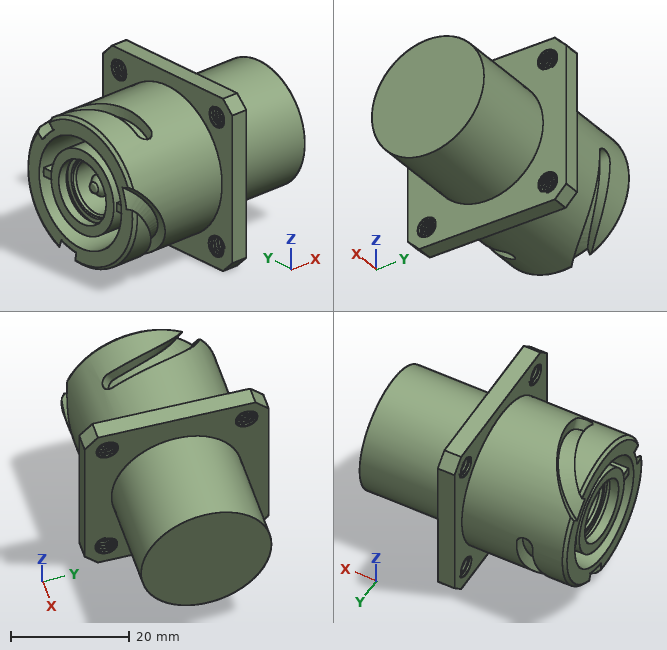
import cadquery as cq
import math

total_length = 41.0

flange_side = 32.5
flange_corner_chamfer = 2.35
flange_front = 20.0
flange_thickness = 3.25
flange_back = flange_front + flange_thickness

barrel_radius = 13.7
barrel_edge_chamfer = 0.57
bore_radius = 10.35
tail_radius = 11.52

key_inner_radius = 8.1
key_width = 1.55
key_front = 1.0
key_embed = 0.4

hole_offset = 12.3
thread_minor_radius = 1.72
thread_depth = 0.308
thread_pitch = 0.7
thread_starts = {(1, 1): 225, (-1, 1): 225, (1, -1): 195, (-1, -1): 20}

slot_count = 3
slot_width = 3.08
slot_floor_radius = 11.6
slot_clear_radius = barrel_radius + slot_width / 2
slot_end_x = 7.87
slot_end_angle = -32.0
slot_straight_angle = 3.5
slot_curve_radius = 23.85
slot_front_overrun = 2.05
slot_facets = 22

insert_front = 0.5
sleeve_radius = 7.87
mouth_radius = 5.95
lip_end = 2.2
undercut_radius = 6.48
undercut_end = 3.0
base_thickness = 3.3
socket_floor = flange_front - base_thickness

shoulder_radius = 5.58
rim_front = 3.1
rim_crest_radius = 5.25
rim_outer_radius = 5.4
rim_groove_end = 3.6
socket_radius = 4.95

pin_radius = 1.95
pin_front = 2.83
tip_radius = 0.65
tip_round = 0.35
nose_radius = 1.5
nose_end = 3.8
shoulder_end = 4.35


def x_cylinder(radius, start, end):
    """Cylinder on the X axis between two stations."""
    return cq.Workplane("YZ", origin=(start, 0, 0)).circle(radius).extrude(end - start)


def turn_about_x(body, angle):
    return body.rotate((0, 0, 0), (1, 0, 0), angle)


def make_flange():
    return (
        cq.Workplane("YZ", origin=(flange_front, 0, 0))
        .rect(flange_side, flange_side)
        .extrude(flange_thickness)
        .edges("|X")
        .chamfer(flange_corner_chamfer)
    )


def make_key(side):
    """Bar along the bore wall on the +Y (side 1) or -Y (side -1) flank."""
    length = flange_front - key_front
    height = bore_radius + key_embed - key_inner_radius
    centre = (key_front + length / 2, side * (key_inner_radius + height / 2), 0)
    return cq.Workplane("XY").box(length, height, key_width).translate(centre)


def tapped_hole(start_angle):
    """Threaded hole: an off-centre circle that turns once about the hole axis per pitch."""
    turns = flange_thickness / thread_pitch
    thread = (
        cq.Workplane("YZ", origin=(flange_front, 0, 0))
        .moveTo(thread_depth / 2, 0)
        .circle(thread_minor_radius + thread_depth / 2)
        .twistExtrude(flange_thickness, 360 * turns)
    )
    return turn_about_x(thread, start_angle)


def slot_section(x, angle, heading):
    """Rectangle across a slot, from its flat floor to past the barrel surface.

    The heading is the angle by which the slot leaves the circumferential direction.
    """
    turn = math.radians(angle)
    outward = cq.Vector(0, math.sin(turn), math.cos(turn))
    around = cq.Vector(0, math.cos(turn), -math.sin(turn))
    across = cq.Vector(1, 0, 0) * math.cos(heading) + around * math.sin(heading)
    floor = cq.Vector(x, 0, 0) + outward * slot_floor_radius
    top = cq.Vector(x, 0, 0) + outward * slot_clear_radius
    half = across * (slot_width / 2)
    return cq.Wire.makePolygon([floor - half, floor + half, top + half, top - half], close=True)


def slot_cutter():
    """Slot with a round closed end that curves out through the front face of the barrel."""
    sections = [slot_section(slot_end_x, slot_end_angle, 0)]
    last_heading = math.acos(1 - (slot_end_x + slot_front_overrun) / slot_curve_radius)
    for i in range(slot_facets + 1):
        heading = last_heading * i / slot_facets
        x = slot_end_x - slot_curve_radius * (1 - math.cos(heading))
        arc_angle = math.degrees(slot_curve_radius * math.sin(heading) / barrel_radius)
        sections.append(slot_section(x, slot_end_angle + slot_straight_angle + arc_angle, heading))
    ramp = cq.Workplane(cq.Solid.makeLoft(sections, True))
    round_end = (
        cq.Workplane("XY", origin=(slot_end_x, 0, slot_floor_radius))
        .circle(slot_width / 2)
        .extrude(slot_clear_radius - slot_floor_radius)
    )
    return ramp.union(turn_about_x(round_end, -slot_end_angle))


def make_housing():
    barrel = x_cylinder(barrel_radius, 0, flange_front).faces("<X").chamfer(barrel_edge_chamfer)
    tail = x_cylinder(tail_radius, flange_back, total_length)
    body = barrel.union(make_flange()).union(tail)
    body = body.cut(x_cylinder(bore_radius, 0, flange_front))

    for side in (1, -1):
        body = body.union(make_key(side))

    cutter = slot_cutter()
    for i in range(slot_count):
        body = body.cut(turn_about_x(cutter, 360 / slot_count * i))

    for (side_y, side_z), start_angle in thread_starts.items():
        position = (0, side_y * hole_offset, side_z * hole_offset)
        body = body.cut(tapped_hole(start_angle).translate(position))
    return body


def make_insert():
    """Turned insert that stands on the floor of the housing bore: sleeve, base and pin in one."""
    profile = (
        cq.Workplane("XY")
        .moveTo(flange_front, 0)
        .lineTo(flange_front, sleeve_radius)
        .lineTo(insert_front, sleeve_radius)
        .lineTo(insert_front, mouth_radius)
        .lineTo(lip_end, mouth_radius)
        .lineTo(lip_end, undercut_radius)
        .lineTo(undercut_end, undercut_radius)
        .lineTo(undercut_end, shoulder_radius)
        .lineTo(rim_groove_end, shoulder_radius)
        .lineTo(rim_groove_end, rim_outer_radius)
        .lineTo(rim_front, rim_crest_radius)
        .lineTo(rim_groove_end, socket_radius)
        .lineTo(socket_floor, socket_radius)
        .lineTo(socket_floor, pin_radius)
        .lineTo(shoulder_end, pin_radius)
        .lineTo(nose_end, nose_radius)
        .lineTo(pin_front + tip_round, tip_radius + tip_round)
        .radiusArc((pin_front, tip_radius), -tip_round)
        .lineTo(pin_front, 0)
        .close()
    )
    return profile.revolve(360, (0, 0, 0), (1, 0, 0))


housing = make_housing()
insert = make_insert()
result = cq.Compound.makeCompound([housing.solids().val(), insert.val()])